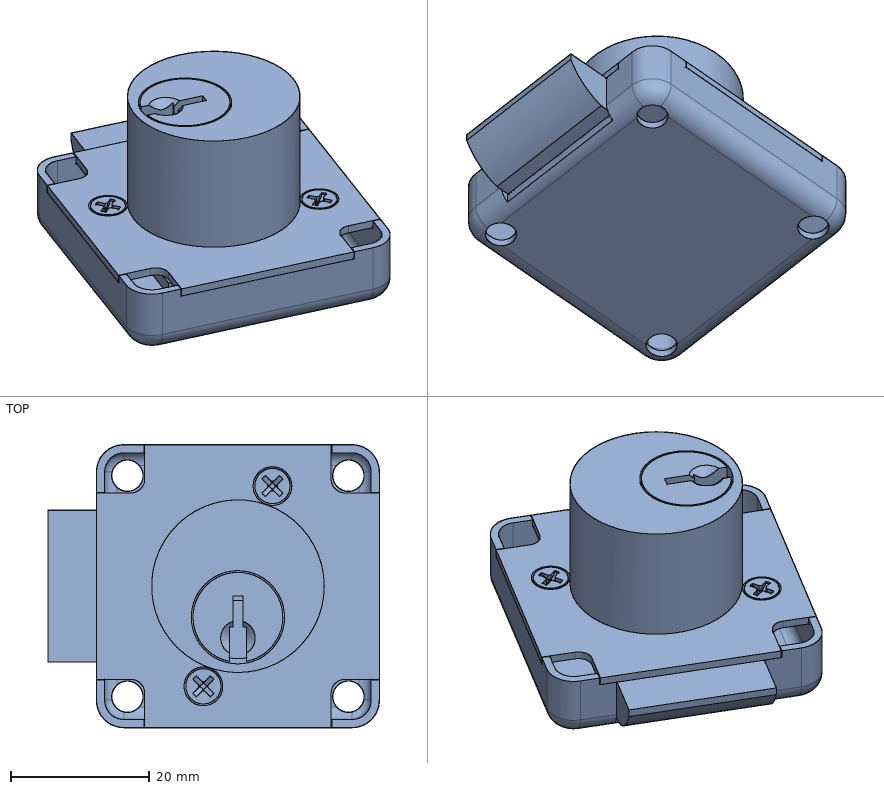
import cadquery as cq

case_size = 41.0
case_height = 10.0
wall = 1.2
case_corner_radius = 4.0
case_bottom_radius = 3.0
mount_hole_diameter = 4.5
mount_hole_offset = 16.0

plate_thickness = 1.2
plate_arm_width = 27.0
plate_notch_radius = 2.0
plate_clearance = 0.1
plate_bottom = case_height - plate_thickness

total_height = 28.0
cylinder_radius = 12.5
bore_radius = 6.0
head_bore_radius = 6.75
head_thickness = 2.0

plug_offset = -4.5
plug_head_radius = 6.5
slot_narrow_width = 1.4
slot_wide_width = 2.5
slot_top = 3.05
slot_top_below_head = 2.4
slot_step = -1.4
dimple_radius = 2.5
dimple_offset = -3.0

bolt_width = 22.0
bolt_bottom = 2.2
bolt_throw = 7.0
bolt_tip_height = 1.2
bolt_nose_length = 6.0
bolt_nose_radius = 10.0
bolt_block_length = 5.0
bolt_tail_length = 25.0
bolt_tail_top = 4.2
bolt_side_clearance = 0.1

screw_positions = [(5.0, 14.5), (-5.0, -14.5)]
countersink_radius = 2.8
screw_head_radius = 2.55
shank_radius = 1.5
shank_bottom = 4.0
cross_half_length = 1.8
cross_width = 0.7
cross_tip_depth = 0.3
cross_depth = 1.2
cross_core_size = 1.4
cross_core_depth = 0.8

case_left = -case_size / 2
inner_size = case_size - 2 * wall
head_bottom = total_height - head_thickness
mount_points = [
    (sx * mount_hole_offset, sy * mount_hole_offset) for sx in (-1, 1) for sy in (-1, 1)
]


def box_between(x0, x1, y0, y1, z0, z1):
    """Box spanning the given limits along each axis."""
    return cq.Workplane("XY").box(x1 - x0, y1 - y0, z1 - z0, centered=False).translate((x0, y0, z0))


def cylinder_between(radius, z0, z1, x=0.0, y=0.0):
    """Vertical cylinder between two heights."""
    return cq.Workplane("XY", origin=(x, y, z0)).circle(radius).extrude(z1 - z0)


def rounded_tray_block(size, bottom, corner_radius, bottom_radius):
    """Square block up to the case rim, with rounded corners and bottom edge."""
    block = cq.Workplane("XY", origin=(0, 0, bottom)).rect(size, size).extrude(case_height - bottom)
    return block.edges("|Z").fillet(corner_radius).faces("<Z").edges().fillet(bottom_radius)


def cross_plate(arm_width):
    """Cross of two full-length arms at the plate level."""
    base = cq.Workplane("XY", origin=(0, 0, plate_bottom))
    along_x = base.rect(case_size, arm_width).extrude(plate_thickness)
    along_y = base.rect(arm_width, case_size).extrude(plate_thickness)
    return along_x.union(along_y)


def make_case():
    case = rounded_tray_block(case_size, 0, case_corner_radius, case_bottom_radius)
    cavity = rounded_tray_block(inner_size, wall, case_corner_radius - wall, case_bottom_radius - wall)
    case = case.cut(cavity)
    case = case.cut(cross_plate(plate_arm_width + 2 * plate_clearance))

    half_opening = bolt_width / 2 + bolt_side_clearance
    inner_fillet_end = case_left + case_bottom_radius
    opening = box_between(
        case_left, inner_fillet_end, -half_opening, half_opening, bolt_bottom, plate_bottom
    )
    flat = box_between(case_left, case_left + wall, -half_opening, half_opening, 0, plate_bottom)
    case = case.cut(opening).cut(flat)

    for x, y in mount_points:
        case = case.cut(cylinder_between(mount_hole_diameter / 2, 0, case_height, x, y))
    return case


def make_cover_plate():
    half_arm = plate_arm_width / 2
    selection_reach = (half_arm + case_size / 2) / 2
    around_notches = cq.selectors.BoxSelector(
        (-selection_reach, -selection_reach, 0), (selection_reach, selection_reach, case_height)
    )
    plate = cross_plate(plate_arm_width).edges("|Z").edges(around_notches).fillet(plate_notch_radius)
    for x, y in screw_positions:
        plate = plate.cut(countersink_cone().translate((x, y, 0)))
    return plate


def make_lock_cylinder():
    body = cylinder_between(cylinder_radius, case_height, total_height)
    body = body.cut(cylinder_between(bore_radius, case_height, head_bottom, y=plug_offset))
    return body.cut(cylinder_between(head_bore_radius, head_bottom, total_height, y=plug_offset))


def make_plug():
    plug = cylinder_between(bore_radius, case_height, head_bottom)
    plug = plug.union(cylinder_between(plug_head_radius, head_bottom, total_height))

    half_narrow = slot_narrow_width / 2
    half_wide = slot_wide_width / 2
    narrow_lower = box_between(
        -half_narrow, half_narrow, slot_step, slot_top_below_head, case_height, head_bottom
    )
    narrow_upper = box_between(
        -half_narrow, half_narrow, slot_step, slot_top, head_bottom, total_height
    )
    wide = box_between(
        -half_wide, half_wide, -plug_head_radius, slot_step, case_height, total_height
    )
    dimple = cq.Workplane("XY").add(
        cq.Solid.makeCone(
            dimple_radius, 0, dimple_radius, cq.Vector(0, dimple_offset, total_height), cq.Vector(0, 0, -1)
        )
    )
    plug = plug.cut(narrow_lower).cut(narrow_upper).cut(wide).cut(dimple)
    return plug.translate((0, plug_offset, 0))


def make_bolt():
    tip = case_left - bolt_throw
    block_end = case_left + bolt_block_length
    tail_end = block_end + bolt_tail_length
    profile = (
        cq.Workplane("XZ", origin=(0, bolt_width / 2, 0))
        .moveTo(tip, plate_bottom)
        .lineTo(block_end, plate_bottom)
        .lineTo(block_end, bolt_tail_top)
        .lineTo(tail_end, bolt_tail_top)
        .lineTo(tail_end, bolt_bottom)
        .lineTo(tip + bolt_nose_length, bolt_bottom)
        .radiusArc((tip, plate_bottom - bolt_tip_height), bolt_nose_radius)
        .close()
    )
    return profile.extrude(bolt_width)


def countersink_cone():
    """45 degree cone through the plate, widest at its top face, centred on the Z axis."""
    profile = (
        cq.Workplane("XZ")
        .moveTo(0, case_height)
        .lineTo(countersink_radius, case_height)
        .lineTo(countersink_radius - plate_thickness, plate_bottom)
        .lineTo(0, plate_bottom)
        .close()
    )
    return profile.revolve(360, (0, 0, 0), (0, 1, 0))


def cross_recess():
    """Diagonal cross sloping down to its centre, opened by a square core; its mouth is at height zero."""
    half_width = cross_width / 2
    arm = (
        cq.Workplane("XZ", origin=(0, cross_width / 2, 0))
        .moveTo(-cross_half_length, 0)
        .lineTo(cross_half_length, 0)
        .lineTo(cross_half_length, -cross_tip_depth)
        .lineTo(half_width, -cross_depth)
        .lineTo(-half_width, -cross_depth)
        .lineTo(-cross_half_length, -cross_tip_depth)
        .close()
        .extrude(cross_width)
    )
    recess = cq.Workplane("XY").rect(cross_core_size, cross_core_size).extrude(-cross_core_depth)
    for angle in (45, 135):
        recess = recess.union(arm.rotate((0, 0, 0), (0, 0, 1), angle))
    return recess


def make_screw(x, y):
    head = countersink_cone().intersect(cylinder_between(screw_head_radius, plate_bottom, case_height))
    screw = head.union(cylinder_between(shank_radius, shank_bottom, plate_bottom))
    screw = screw.cut(cross_recess().translate((0, 0, case_height)))
    return screw.translate((x, y, 0))


case = make_case()
cover_plate = make_cover_plate()
lock_cylinder = make_lock_cylinder()
plug = make_plug()
bolt = make_bolt()
screws = [make_screw(x, y) for x, y in screw_positions]

result = cq.Compound.makeCompound(
    [
        case.val(),
        cover_plate.val(),
        lock_cylinder.val(),
        plug.val(),
        bolt.val(),
        *[screw.val() for screw in screws],
    ]
)